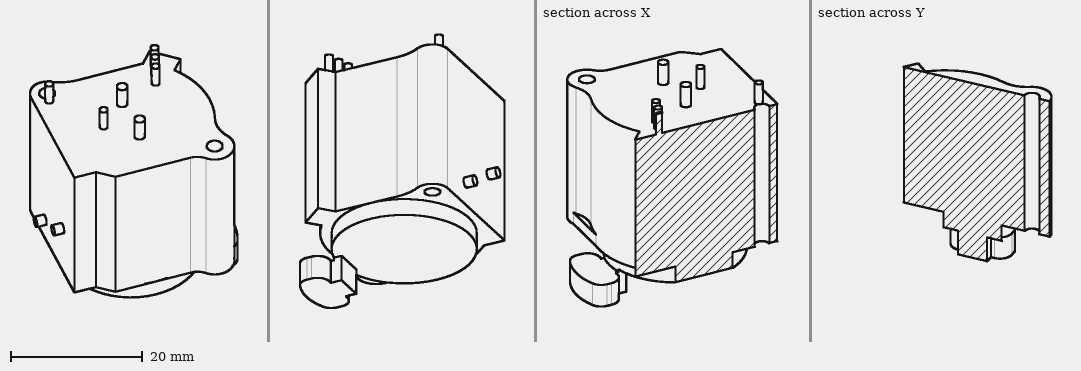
import cadquery as cq
import math

knob_top = 3.8
collar_bottom = 4.2
body_bottom = 6.9
body_top = 30.9
pin_top = 34.4

half_width = 11.0
front_y = -12.5
crown_radius = 12.75
ear_offset = 9.87
front_ear_radius = -front_y - ear_offset
rear_ear_radius = 3.0
ear_hole_diameter = 2.4
front_blend_radius = 8.0
side_blend_radius = 3.0
rear_blend_radius = 5.0
notch_x = 9.0
notch_bottom_y = -9.0
notch_top_y = -6.57
lug_start_y = 6.02
lug_outer = (-13.18, 7.9)
lug_tip = (-9.9, 11.73)
lug_end_x = -7.95

strip_back_y = 12.7
strip_front_y = 10.32
strip_height = 2.0

knob_half_width = 5.02
knob_front_y = 11.2
knob_back_y = 16.6
knob_corner_radius = 2.0
knob_side_end_y = 14.0
stem_half_width = 2.45
stem_front_y = 9.43

thick_pin_diameter = 1.6
thin_pin_diameter = 1.25
pin_x = 3.82
side_pin_length = 1.5
low_side_pin_z = 10.75
high_side_pin_z = 15.8
thin_pin_points = [(-10.15, 7.6), (-8.22, 6.95), (-6.3, 6.33), (0, -4.4), (-8.22, -10.15)]

rear_ear = (ear_offset, ear_offset)
front_ear = (-ear_offset, -ear_offset)


def polar(center, radius, angle):
    return (center[0] + radius * math.cos(angle), center[1] + radius * math.sin(angle))


def direction(start, end):
    return math.atan2(end[1] - start[1], end[0] - start[0])


def toward(center, target, radius):
    """Point on a circle in the direction of the target."""
    return polar(center, radius, direction(center, target))


def side_blend_center(ear, ear_radius, blend_radius, side):
    """Centre of an arc tangent to an ear and to a body side (side is +1 or -1)."""
    x = side * (half_width + blend_radius)
    rise = math.sqrt((ear_radius + blend_radius) ** 2 - (x - ear[0]) ** 2)
    return (x, ear[1] - side * rise)


def rear_blend_center():
    """Centre of the arc tangent to both the crown and the rear ear, outside the body."""
    spacing = math.hypot(*rear_ear)
    to_crown = crown_radius + rear_blend_radius
    to_ear = rear_ear_radius + rear_blend_radius
    cosine = (spacing ** 2 + to_crown ** 2 - to_ear ** 2) / (2 * spacing * to_crown)
    return polar((0, 0), to_crown, direction((0, 0), rear_ear) + math.acos(cosine))


def make_body():
    front_blend = side_blend_center(front_ear, front_ear_radius, front_blend_radius, -1)
    side_blend = side_blend_center(rear_ear, rear_ear_radius, side_blend_radius, 1)
    rear_blend = rear_blend_center()

    lug_end = (lug_end_x, math.sqrt(crown_radius ** 2 - lug_end_x ** 2))
    crown_end = toward((0, 0), rear_blend, crown_radius)
    rear_ear_start = toward(rear_ear, rear_blend, rear_ear_radius)
    rear_ear_end = toward(rear_ear, side_blend, rear_ear_radius)
    front_ear_end = toward(front_ear, front_blend, front_ear_radius)

    rear_blend_mid_angle = (direction(rear_blend, (0, 0)) + direction(rear_blend, rear_ear)) / 2
    rear_blend_mid = polar(rear_blend, rear_blend_radius, rear_blend_mid_angle)
    side_blend_mid_angle = (direction(side_blend, rear_ear) + math.pi) / 2
    front_blend_mid_angle = direction(front_blend, front_ear) / 2

    outline = (
        cq.Workplane("XY", origin=(0, 0, body_bottom))
        .moveTo(-ear_offset, front_y)
        .lineTo(notch_x, front_y)
        .lineTo(notch_x, notch_bottom_y)
        .lineTo(half_width, notch_top_y)
        .lineTo(half_width, side_blend[1])
        .threePointArc(polar(side_blend, side_blend_radius, side_blend_mid_angle), rear_ear_end)
        .threePointArc(polar(rear_ear, rear_ear_radius, math.radians(45)), rear_ear_start)
        .threePointArc(rear_blend_mid, crown_end)
        .threePointArc((0, crown_radius), lug_end)
        .lineTo(*lug_tip)
        .lineTo(*lug_outer)
        .lineTo(-half_width, lug_start_y)
        .lineTo(-half_width, front_blend[1])
        .threePointArc(polar(front_blend, front_blend_radius, front_blend_mid_angle), front_ear_end)
        .threePointArc(polar(front_ear, front_ear_radius, math.radians(225)), (-ear_offset, front_y))
        .close()
    )
    body = outline.extrude(body_top - body_bottom)
    strip_start_x = math.sqrt(crown_radius ** 2 - strip_back_y ** 2)
    strip = (
        cq.Workplane("XY", origin=(0, 0, body_bottom))
        .moveTo(strip_start_x, strip_front_y)
        .lineTo(ear_offset, strip_front_y)
        .lineTo(ear_offset, strip_back_y)
        .lineTo(strip_start_x, strip_back_y)
        .close()
        .extrude(strip_height)
    )
    holes = (
        cq.Workplane("XY", origin=(0, 0, body_bottom))
        .pushPoints([front_ear, rear_ear])
        .circle(ear_hole_diameter / 2)
        .extrude(body_top - body_bottom)
    )
    return body.union(strip).cut(holes)


def make_collar():
    height = body_bottom - collar_bottom
    return cq.Workplane("XY", origin=(0, 0, collar_bottom)).circle(half_width).extrude(height)


def make_knob():
    corner_x = knob_half_width - knob_corner_radius
    corner = (corner_x, knob_side_end_y)
    rise = knob_back_y - knob_side_end_y
    back_radius = (corner_x ** 2 + rise ** 2 - knob_corner_radius ** 2) / (2 * (rise - knob_corner_radius))
    back_center = (0, knob_back_y - back_radius)
    back_angle = direction(back_center, corner)
    back_x, back_end_y = polar(back_center, back_radius, back_angle)
    upper_mid_x, upper_mid_y = polar(corner, knob_corner_radius, back_angle / 2)
    side_start_y = knob_front_y + knob_corner_radius
    lower_mid_x, lower_mid_y = polar((corner_x, side_start_y), knob_corner_radius, math.radians(-45))
    return (
        cq.Workplane("XY")
        .moveTo(-corner_x, knob_front_y)
        .lineTo(corner_x, knob_front_y)
        .threePointArc((lower_mid_x, lower_mid_y), (knob_half_width, side_start_y))
        .lineTo(knob_half_width, knob_side_end_y)
        .threePointArc((upper_mid_x, upper_mid_y), (back_x, back_end_y))
        .threePointArc((0, knob_back_y), (-back_x, back_end_y))
        .threePointArc((-upper_mid_x, upper_mid_y), (-knob_half_width, knob_side_end_y))
        .lineTo(-knob_half_width, side_start_y)
        .threePointArc((-lower_mid_x, lower_mid_y), (-corner_x, knob_front_y))
        .close()
        .extrude(knob_top)
    )


def make_stem():
    def block(back_y, height):
        depth = back_y - stem_front_y
        return (
            cq.Workplane("XY", origin=(0, stem_front_y, 0))
            .box(2 * stem_half_width, depth, height, centered=(True, False, False))
        )

    collar_column = cq.Workplane("XY").circle(half_width).extrude(collar_bottom)
    upper = block(half_width, collar_bottom).intersect(collar_column)
    return block(knob_side_end_y, knob_top).union(upper)


def make_top_pins(points, diameter):
    return (
        cq.Workplane("XY", origin=(0, 0, body_top))
        .pushPoints(points)
        .circle(diameter / 2)
        .extrude(pin_top - body_top)
    )


def make_side_pins():
    return (
        cq.Workplane("XZ", origin=(0, front_y, 0))
        .pushPoints([(-pin_x, low_side_pin_z), (pin_x, high_side_pin_z)])
        .circle(thick_pin_diameter / 2)
        .extrude(side_pin_length)
    )


result = (
    make_body()
    .union(make_collar())
    .union(make_stem())
    .union(make_knob())
    .union(make_top_pins([(-pin_x, 0), (pin_x, 0)], thick_pin_diameter))
    .union(make_top_pins(thin_pin_points, thin_pin_diameter))
    .union(make_side_pins())
)